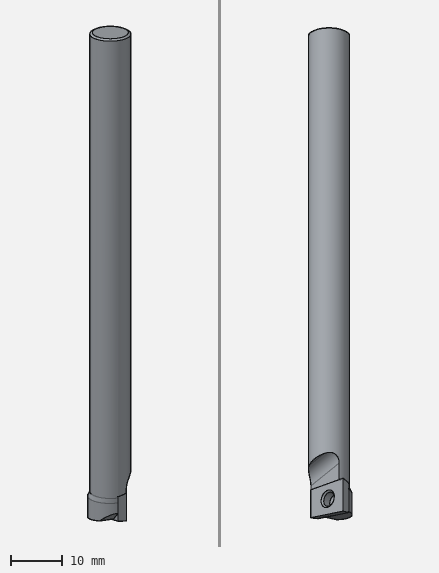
import cadquery as cq
import math

LENGTH = 101.1
SHANK_DIAMETER = 8.0
TOP_CHAMFER_WIDTH = 0.5
TOP_CHAMFER_HEIGHT = 0.3

HEAD_RADIUS = 4.3
SHANK_END_Z = 6.3
HEAD_TOP_Z = 5.3
HEAD_BOTTOM_Z = 1.1
BOTTOM_SLOPE = 7.0
HEAD_CORNER_CHAMFER = 1.5

TIP_X = -5.0
RAKE_ANGLE = 13.0

INSERT_TOP_Z = 6.9
INSERT_THICKNESS = 2.0
INSERT_RELIEF = 10.0
HOLE_DIAMETER = 2.8
COUNTERSINK_DIAMETER = 3.5
COUNTERSINK_ANGLE = 90.0
HOLE_FROM_TIP = 4.1
HOLE_Z = 3.7

FLUTE_TOP_Z = 13.1
FLUTE_SLOPE = 19.0
FLUTE_FLOOR_RADIUS = 2.3

shank_radius = SHANK_DIAMETER / 2
head_x = shank_radius - HEAD_RADIUS
CLEARANCE = 20.2

rake = math.radians(RAKE_ANGLE)
rake_plane = cq.Plane(
    origin=(TIP_X, 0, 0),
    xDir=(math.cos(rake), math.sin(rake), 0),
    normal=(math.sin(rake), -math.cos(rake), 0),
)


def make_bar():
    """Chamfered shank that flares into the off-centre head."""
    shank = cq.Workplane("XY", origin=(0, 0, SHANK_END_Z)).circle(shank_radius).extrude(LENGTH - SHANK_END_Z)
    shank = shank.faces(">Z").edges().chamfer(TOP_CHAMFER_HEIGHT, TOP_CHAMFER_WIDTH)
    flare = (
        cq.Workplane("XY", origin=(head_x, 0, HEAD_TOP_Z))
        .circle(HEAD_RADIUS)
        .workplane(offset=SHANK_END_Z - HEAD_TOP_Z)
        .center(-head_x, 0)
        .circle(shank_radius)
        .loft(ruled=True)
    )
    head = cq.Workplane("XY", origin=(head_x, 0, 0)).circle(HEAD_RADIUS).extrude(HEAD_TOP_Z)
    return shank.union(flare).union(head)


def make_bottom_cut():
    """Material below the sloping head end and its chamfered +X corner."""
    slope = math.tan(math.radians(BOTTOM_SLOPE))
    chamfer_x = shank_radius - HEAD_CORNER_CHAMFER
    return (
        cq.Workplane("XZ", origin=(0, CLEARANCE / 2, 0))
        .polyline([
            (-CLEARANCE, HEAD_BOTTOM_Z - CLEARANCE * slope),
            (chamfer_x, HEAD_BOTTOM_Z + chamfer_x * slope),
            (shank_radius, HEAD_BOTTOM_Z + shank_radius * slope + HEAD_CORNER_CHAMFER),
            (CLEARANCE, HEAD_BOTTOM_Z + shank_radius * slope + HEAD_CORNER_CHAMFER),
            (CLEARANCE, -CLEARANCE),
            (-CLEARANCE, -CLEARANCE),
        ])
        .close()
        .extrude(CLEARANCE)
    )


def make_flute():
    """Flat rake cut with a sloping upper end that has a concave round floor."""
    flute_plane = rake_plane.rotated((0, 0, -FLUTE_SLOPE))
    flute_top = FLUTE_TOP_Z * math.cos(math.radians(FLUTE_SLOPE))
    return (
        cq.Workplane(flute_plane)
        .center(0, flute_top - CLEARANCE)
        .rect(2 * CLEARANCE, 2 * CLEARANCE)
        .extrude(-CLEARANCE)
        .faces(cq.selectors.DirectionMinMaxSelector(flute_plane.yDir, True))
        .edges(cq.selectors.DirectionMinMaxSelector(flute_plane.zDir, True))
        .fillet(FLUTE_FLOOR_RADIUS)
    )


def make_insert_blank():
    """Relieved plate whose +X end follows the round head."""
    slope = math.tan(math.radians(BOTTOM_SLOPE))
    plate = (
        cq.Workplane(rake_plane)
        .polyline([
            (0, 0),
            (CLEARANCE, CLEARANCE * slope),
            (CLEARANCE, INSERT_TOP_Z),
            (0, INSERT_TOP_Z),
        ])
        .close()
        .extrude(INSERT_THICKNESS, taper=INSERT_RELIEF)
    )
    envelope = (
        cq.Workplane("XY", origin=(head_x, 0, 0))
        .circle(HEAD_RADIUS)
        .extrude(CLEARANCE)
        .union(cq.Workplane("XY").box(CLEARANCE, CLEARANCE, CLEARANCE, centered=(True, True, False))
               .translate((head_x - CLEARANCE / 2, 0, 0)))
    )
    return plate.intersect(envelope)


def make_insert_hole():
    """Countersunk screw hole through the insert only."""
    hole = cq.Workplane(rake_plane).center(HOLE_FROM_TIP, HOLE_Z)
    bore = hole.circle(HOLE_DIAMETER / 2).extrude(INSERT_THICKNESS)
    sink_depth = (COUNTERSINK_DIAMETER - HOLE_DIAMETER) / 2 / math.tan(math.radians(COUNTERSINK_ANGLE / 2))
    sink = hole.circle(COUNTERSINK_DIAMETER / 2).extrude(sink_depth, taper=COUNTERSINK_ANGLE / 2)
    return bore.union(sink)


insert_blank = make_insert_blank()
holder = make_bar().cut(make_bottom_cut()).cut(make_flute()).cut(insert_blank)
insert = insert_blank.cut(make_insert_hole())

result = cq.Compound.makeCompound([*holder.vals(), *insert.vals()])